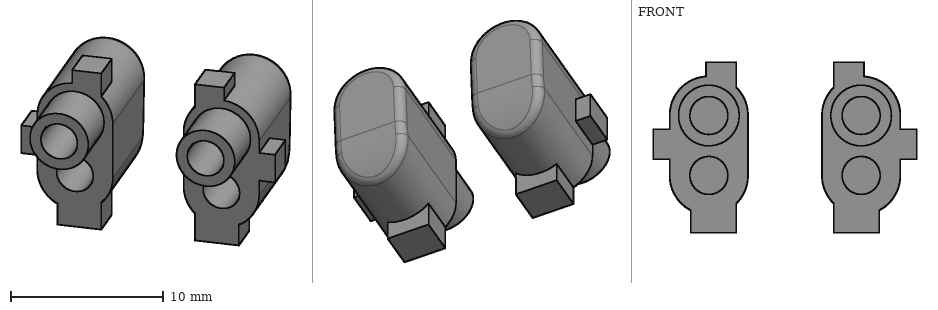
import cadquery as cq
import math


overall_width = 17.32
housing_pitch = 10.0
housing_offset = housing_pitch / 2

shell_radius = 2.58
bore_pitch = 3.93
lower_axis_z = -bore_pitch
shell_depth = 8.2

back_lean = math.radians(3.7)
back_arc_radius = 6.67
back_arc_start_z = -3.03
back_fillet = 0.6

barrel_radius = 2.0
barrel_length = 3.75
bore_radius = 1.25
bore_floor_y = 5.0

tab_depth = 2.5
tab_width = 2.0
inner_tab_edge = 1.8
top_tab_reach = 3.5
bottom_tab_width = 3.0
bottom_tab_reach = 3.78
side_tab_reach = overall_width / 2 - housing_offset
side_tab_center_z = -1.89


def block(x_from, x_to, z_from, z_to):
    """Tab-deep block behind the front face, between two X and two Z limits."""
    width = abs(x_to - x_from)
    return cq.Workplane("XY").box(width, tab_depth, z_to - z_from).translate(
        ((x_from + x_to) / 2, tab_depth / 2, (z_from + z_to) / 2)
    )


def rod(radius, y_from, y_to, axis_z):
    """Cylinder along Y between two Y positions."""
    return (
        cq.Workplane("XZ", origin=(0, y_from, axis_z))
        .circle(radius)
        .extrude(y_from - y_to)
    )


def back_envelope():
    """Side profile of the shell, extruded across its full width."""
    shell_top = shell_radius
    shell_bottom = lower_axis_z - shell_radius

    lean_slope = math.tan(back_lean)
    top_y = shell_depth + back_fillet * lean_slope
    arc_start_y = top_y - (shell_top - back_arc_start_z) * lean_slope

    center_y = arc_start_y - back_arc_radius * math.cos(back_lean)
    center_z = back_arc_start_z + back_arc_radius * math.sin(back_lean)
    end_angle = math.asin((shell_bottom - center_z) / back_arc_radius)
    middle_angle = (end_angle - back_lean) / 2

    def arc_point(angle):
        return (
            center_y + back_arc_radius * math.cos(angle),
            center_z + back_arc_radius * math.sin(angle),
        )

    return (
        cq.Workplane("YZ")
        .moveTo(0, shell_top)
        .lineTo(top_y, shell_top)
        .lineTo(arc_start_y, back_arc_start_z)
        .threePointArc(arc_point(middle_angle), arc_point(end_angle))
        .lineTo(0, shell_bottom)
        .close()
        .extrude(shell_radius, both=True)
    )


def make_shell():
    """Slot-shaped shell with its back trimmed and rounded over."""
    slot = (
        cq.Workplane("XZ", origin=(0, 0, lower_axis_z / 2))
        .slot2D(bore_pitch + 2 * shell_radius, 2 * shell_radius, 90)
        .extrude(-(shell_depth + back_fillet))
    )
    trimmed = slot.intersect(back_envelope())
    return trimmed.edges("not (|X or |Y or <Y)").fillet(back_fillet)


def make_housing(side):
    """One housing; side is +1 when its side tab points to +X and -1 for -X."""
    inner_x = -side * inner_tab_edge
    top_tab = block(inner_x, inner_x + side * tab_width, 0, top_tab_reach)
    bottom_tab = block(
        inner_x, inner_x + side * bottom_tab_width, lower_axis_z - bottom_tab_reach, lower_axis_z
    )
    side_tab = block(
        0, side * side_tab_reach, side_tab_center_z - tab_width / 2, side_tab_center_z + tab_width / 2
    )
    barrel = rod(barrel_radius, -barrel_length, 0, 0)
    barrel_bore = rod(bore_radius, -barrel_length, bore_floor_y, 0)
    lower_bore = rod(bore_radius, 0, bore_floor_y, lower_axis_z)

    solid = make_shell().union(top_tab).union(bottom_tab).union(side_tab).union(barrel)
    solid = solid.cut(barrel_bore).cut(lower_bore)
    return solid.translate((side * housing_offset, 0, 0))


housings = [make_housing(side).val() for side in (-1, 1)]

result = cq.Compound.makeCompound(housings)